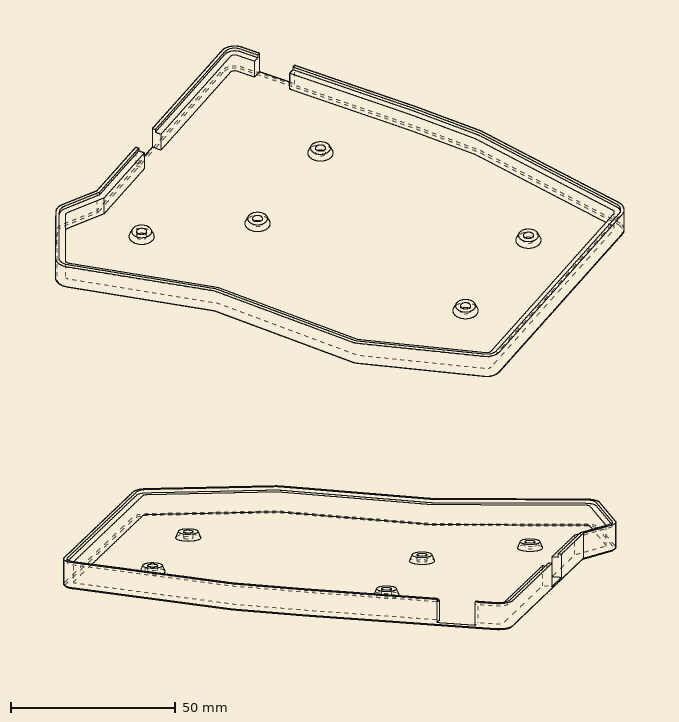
import cadquery as cq

TOTAL_HEIGHT = 8.5
RIM_HEIGHT = 1.0
FLOOR_THICKNESS = 1.0
BOTTOM_CHAMFER = 0.5

BOARD_CLEARANCE = 1.5
WALL_THICKNESS = 3.0
RIM_WIDTH = 1.0
OUTER_OFFSET = BOARD_CLEARANCE + WALL_THICKNESS
RIM_INNER_OFFSET = OUTER_OFFSET - RIM_WIDTH

BOARD_CORNERS = [
    (10.8, 112.2),
    (10.8, 34.8),
    (4.5, 23.0),
    (15.0, 4.5),
    (60.3, 17.3),
    (109.4, 17.3),
    (146.1, 31.3),
    (146.1, 106.0),
    (93.2, 114.3),
    (70.8, 114.3),
]

LEFT_NOTCH_Y = 64.8
LEFT_NOTCH_WIDTH = 10.1
TOP_NOTCH_X = 22.9
TOP_NOTCH_WIDTH = 12.0
NOTCH_REACH = 4 * WALL_THICKNESS

BOSS_BASE_DIAMETER = 7.7
BOSS_TOP_DIAMETER = 6.0
BOSS_HEIGHT = 2.0
BOSS_HOLE_DIAMETER = 3.0
BOSS_CENTRES = [
    (24.5, 31.6),
    (52.1, 54.5),
    (52.1, 93.0),
    (127.6, 50.5),
    (127.6, 88.9),
]


def board_prism(offset, bottom, top):
    """Prism between two heights, its outline grown from the board with round convex corners."""
    outline = cq.Workplane("XY").workplane(offset=bottom).polyline(BOARD_CORNERS).close()
    return outline.offset2D(offset, "arc").extrude(top - bottom)


def make_shell():
    """Open tray whose wall has a raised rim around a lower inner ledge."""
    body = board_prism(OUTER_OFFSET, 0, TOTAL_HEIGHT)
    body = body.faces("<Z").edges().chamfer(BOTTOM_CHAMFER)
    ledge_space = board_prism(RIM_INNER_OFFSET, TOTAL_HEIGHT - RIM_HEIGHT, TOTAL_HEIGHT)
    cavity = board_prism(BOARD_CLEARANCE, FLOOR_THICKNESS, TOTAL_HEIGHT)
    return body.cut(ledge_space).cut(cavity)


def notch_block(centre_x, centre_y, size_x, size_y):
    """Block standing at floor level that opens the wall it crosses."""
    base = cq.Workplane("XY").center(centre_x, centre_y).rect(size_x, size_y)
    return base.extrude(TOTAL_HEIGHT).translate((0, 0, FLOOR_THICKNESS))


def make_boss():
    """Truncated cone standing on the floor, with a hole down to the floor."""
    cone = cq.Workplane("XY").circle(BOSS_BASE_DIAMETER / 2)
    cone = cone.workplane(offset=BOSS_HEIGHT).circle(BOSS_TOP_DIAMETER / 2).loft()
    return cone.cut(cq.Workplane("XY").circle(BOSS_HOLE_DIAMETER / 2).extrude(BOSS_HEIGHT))


left_wall_x = BOARD_CORNERS[0][0] - OUTER_OFFSET
upper_wall_y = BOARD_CORNERS[0][1] + OUTER_OFFSET

result = make_shell()
result = result.cut(notch_block(left_wall_x, LEFT_NOTCH_Y, NOTCH_REACH, LEFT_NOTCH_WIDTH))
result = result.cut(notch_block(TOP_NOTCH_X, upper_wall_y, TOP_NOTCH_WIDTH, NOTCH_REACH))
for x, y in BOSS_CENTRES:
    result = result.union(make_boss().translate((x, y, FLOOR_THICKNESS)))